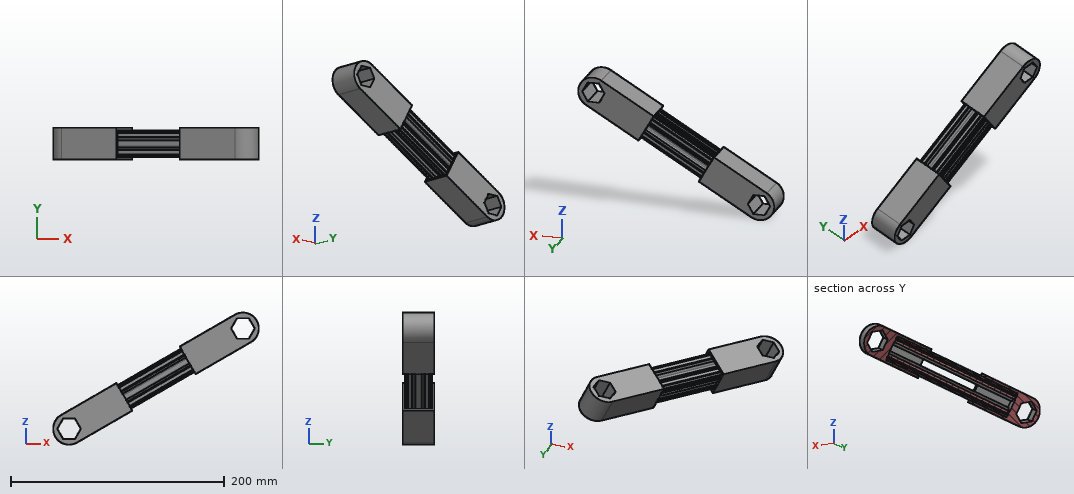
import cadquery as cq
import math

TILT = 30.0
HOLE_SPACING = 188.4

BLOCK_WIDTH = 30.0
BLOCK_REACH = 60.0
BAR_END_GAP = 18.0
HEX_ACROSS_FLATS = 19.0

BAR_WIDTH = 25.4
CORNER_RADIUS = 2.6
SLOT_OPENING = 6.5
MOUTH_RADIUS = 0.95
LIP_THICKNESS = 2.4
LIP_INNER_RADIUS = 1.2
SLOT_INNER_WIDTH = 14.84
SLOT_DEPTH = 8.05
FLOOR_WIDTH = 4.2
FLOOR_RADIUS = 2.4
GROOVE_RADIUS = 0.5
GROOVE_OFFSETS = (5.84, 10.35)

half_bar = BAR_WIDTH / 2
half_spacing = HOLE_SPACING / 2
block_radius = BLOCK_WIDTH / 2
hex_across_corners = HEX_ACROSS_FLATS / math.cos(math.radians(30))
bar_length = HOLE_SPACING - 2 * BAR_END_GAP
socket_depth = BLOCK_REACH - BAR_END_GAP


def on_arc(centre_x, centre_y, radius, degrees):
    """Section point at the given angle around an arc centre."""
    angle = math.radians(degrees)
    return (centre_x + radius * math.cos(angle), centre_y + radius * math.sin(angle))


def mirrored(point):
    """The same section point on the other side of the slot's centre plane."""
    return (-point[0], point[1])


def make_slot():
    """Prism that cuts the T-slot in the upper face of the bar."""
    half_opening = SLOT_OPENING / 2
    lip_underside = half_bar - LIP_THICKNESS
    floor_height = half_bar - SLOT_DEPTH
    half_inner = SLOT_INNER_WIDTH / 2

    mouth_centre = (half_opening + MOUTH_RADIUS, half_bar - MOUTH_RADIUS)
    mouth_top = on_arc(*mouth_centre, MOUTH_RADIUS, 90)
    mouth_middle = on_arc(*mouth_centre, MOUTH_RADIUS, 135)
    mouth_bottom = on_arc(*mouth_centre, MOUTH_RADIUS, 180)
    lip_centre = (half_opening + LIP_INNER_RADIUS, lip_underside + LIP_INNER_RADIUS)
    lip_top = on_arc(*lip_centre, LIP_INNER_RADIUS, 180)
    lip_middle = on_arc(*lip_centre, LIP_INNER_RADIUS, 225)
    lip_bottom = on_arc(*lip_centre, LIP_INNER_RADIUS, 270)
    inner_top = (half_inner, lip_underside)
    blend_centre = (FLOOR_WIDTH / 2, floor_height + FLOOR_RADIUS)
    web_foot = on_arc(*blend_centre, FLOOR_RADIUS, -45)
    blend_middle = on_arc(*blend_centre, FLOOR_RADIUS, -67.5)
    floor_end = on_arc(*blend_centre, FLOOR_RADIUS, -90)
    inner_bottom = (half_inner, web_foot[1] + half_inner - web_foot[0])

    return (
        cq.Workplane("YZ", origin=(-bar_length / 2, 0, 0))
        .moveTo(*mouth_top)
        .threePointArc(mouth_middle, mouth_bottom)
        .lineTo(*lip_top)
        .threePointArc(lip_middle, lip_bottom)
        .lineTo(*inner_top)
        .lineTo(*inner_bottom)
        .lineTo(*web_foot)
        .threePointArc(blend_middle, floor_end)
        .lineTo(*mirrored(floor_end))
        .threePointArc(mirrored(blend_middle), mirrored(web_foot))
        .lineTo(*mirrored(inner_bottom))
        .lineTo(*mirrored(inner_top))
        .lineTo(*mirrored(lip_bottom))
        .threePointArc(mirrored(lip_middle), mirrored(lip_top))
        .lineTo(*mirrored(mouth_bottom))
        .threePointArc(mirrored(mouth_middle), mirrored(mouth_top))
        .close()
        .extrude(bar_length)
    )


def make_grooves():
    """Four shallow round grooves along the upper face of the bar."""
    centres = [(side * offset, half_bar) for offset in GROOVE_OFFSETS for side in (-1, 1)]
    return (
        cq.Workplane("YZ", origin=(-bar_length / 2, 0, 0))
        .pushPoints(centres)
        .circle(GROOVE_RADIUS)
        .extrude(bar_length)
    )


def make_bar():
    """T-slot bar reaching into the sockets of both end blocks."""
    bar = cq.Workplane("YZ").rect(BAR_WIDTH, BAR_WIDTH).extrude(bar_length / 2, both=True)
    bar = bar.edges("|X").fillet(CORNER_RADIUS)
    slot = make_slot()
    grooves = make_grooves()
    for quarter in range(4):
        for cutter in (slot, grooves):
            bar = bar.cut(cutter.rotate((0, 0, 0), (1, 0, 0), 90 * quarter))
    return bar


def make_end_block(side):
    """Block with a rounded, hex-bored outer end; side is -1 or +1 along the arm."""
    bore_x = side * half_spacing
    body_centre_x = bore_x - side * BLOCK_REACH / 2
    body = cq.Workplane("XY").box(BLOCK_REACH, BLOCK_WIDTH, BLOCK_WIDTH).translate((body_centre_x, 0, 0))
    bore_plane = cq.Workplane("XZ", origin=(bore_x, 0, 0))
    rounded_end = bore_plane.circle(block_radius).extrude(block_radius, both=True)
    hex_bore = (
        cq.Workplane("XZ")
        .polygon(6, hex_across_corners)
        .extrude(block_radius, both=True)
        .rotate((0, 0, 0), (0, 1, 0), TILT)
        .translate((bore_x, 0, 0))
    )
    socket_centre_x = bore_x - side * (BLOCK_REACH - socket_depth / 2)
    socket = cq.Workplane("XY").box(socket_depth, BAR_WIDTH, BAR_WIDTH).translate((socket_centre_x, 0, 0))
    return body.union(rounded_end).cut(hex_bore).cut(socket)


def tilt(body):
    return body.rotate((0, 0, 0), (0, 1, 0), -TILT)


bar = tilt(make_bar())
end_blocks = [tilt(make_end_block(side)) for side in (-1, 1)]

result = cq.Compound.makeCompound([bar.val(), *[block.val() for block in end_blocks]])